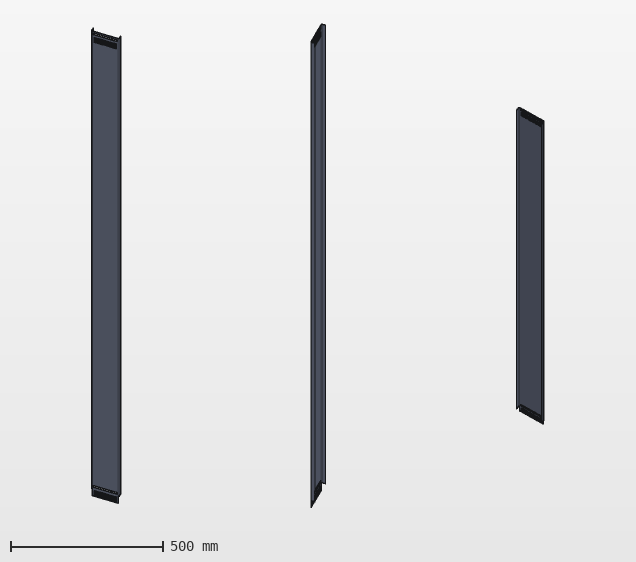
import cadquery as cq

width = 100.0
depth = 15.0
length = 2000.0

thickness = 1.5
outer_bend_radius = 3.0
inner_bend_radius = outer_bend_radius - thickness

tab_length = 30.0
tab_width = width - 2 * outer_bend_radius

wide_slot_length = 85.5
wide_slot_height = 7.0
wide_slot_edge_distance = 7.5

narrow_slot_count = 15
narrow_slot_pitch = 5.5
narrow_slot_width = 2.5
narrow_slot_height = 21.0
lower_row_height = 14.0
row_spacing = 1950.0


def folded_channel():
    """U-shaped channel, open toward +Y, above the tab."""
    channel_length = length - tab_length
    outside = (
        cq.Workplane("XY", origin=(0, 0, tab_length))
        .rect(width, 2 * depth)
        .extrude(channel_length)
        .translate((0, depth, 0))
        .edges("|Z and <Y")
        .fillet(outer_bend_radius)
    )
    inside = (
        cq.Workplane("XY", origin=(0, 0, tab_length))
        .rect(width - 2 * thickness, 2 * depth)
        .extrude(channel_length)
        .translate((0, depth + thickness, 0))
        .edges("|Z and <Y")
        .fillet(inner_bend_radius)
    )
    envelope = cq.Workplane("XY").box(width, depth, length, centered=(True, False, False))
    return outside.cut(inside).intersect(envelope)


def tab():
    """Plain strip in the plane of the web."""
    return cq.Workplane("XY").box(tab_width, thickness, tab_length, centered=(True, False, False))


def wide_slot(center_z):
    """Cutter for a square-ended slot across the web."""
    return (
        cq.Workplane("XZ", origin=(0, 0, center_z))
        .rect(wide_slot_length, wide_slot_height)
        .extrude(-thickness)
    )


def narrow_slot_row(center_z):
    """Cutter for a row of round-ended slots that stand upright side by side."""
    return (
        cq.Workplane("XZ", origin=(0, 0, center_z))
        .rarray(narrow_slot_pitch, 1, narrow_slot_count, 1)
        .slot2D(narrow_slot_height, narrow_slot_width, 90)
        .extrude(-thickness)
    )


result = folded_channel().union(tab())

wide_slot_inset = wide_slot_edge_distance + wide_slot_height / 2
for slot_z in (tab_length + wide_slot_inset, length - wide_slot_inset):
    result = result.cut(wide_slot(slot_z))

for row_z in (lower_row_height, lower_row_height + row_spacing):
    result = result.cut(narrow_slot_row(row_z))